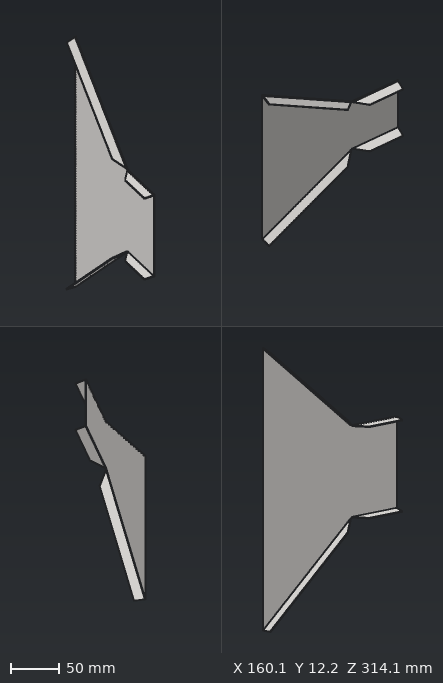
import cadquery as cq
import math

length = 160.13
depth = 12.24
wide_height = 314.15

sheet = 1.0
neck_height = 102.6
half_wide = wide_height / 2
half_neck = neck_height / 2

slope = math.sqrt(0.5)

outer_corner_x = sheet * slope
flare_span = half_wide - half_neck
flare_edge = flare_span / slope
corner_x = outer_corner_x + flare_span
neck_length = length - corner_x

wide_end_trim = 2.7
flare_corner_trim = 16.0
neck_corner_trim = 14.3

flare_corner_gap = 2.0


def make_web():
    """Flat funnel-shaped web, with its back face at Y = 0."""
    upper_edge = [
        (length, half_neck),
        (corner_x, half_neck),
        (outer_corner_x, half_wide),
        (0, half_wide - outer_corner_x),
    ]
    lower_edge = [(x, -z) for x, z in reversed(upper_edge)]
    return cq.Workplane("XZ").polyline(upper_edge + lower_edge).close().extrude(sheet)


def make_flange(start, direction, profile):
    """Flange whose outer face starts at `start` (X, Z) and follows `direction` (X, Z).

    The profile is drawn on the outer face: first coordinate along the flange, second along Y.
    """
    along_x, along_z = direction
    outer_face = cq.Plane(
        origin=(start[0], 0, start[1]),
        xDir=(along_x, 0, along_z),
        normal=(-along_z, 0, along_x),
    )
    return cq.Workplane(outer_face).polyline(profile).close().extrude(-sheet)


def make_flare_flange():
    """Upper 45-degree flange, tapering towards its free edge at both ends."""
    flange_end = flare_edge - flare_corner_gap
    profile = [
        (0, 0),
        (0, -sheet),
        (wide_end_trim, -depth),
        (flare_edge - flare_corner_trim, -depth),
        (flange_end, -sheet),
        (flange_end, 0),
    ]
    return make_flange((outer_corner_x, half_wide), (slope, -slope), profile)


def make_neck_flange():
    """Upper straight flange, cut back next to the flare and square at the neck end."""
    profile = [
        (0, 0),
        (0, -sheet),
        (neck_corner_trim, -depth),
        (neck_length, -depth),
        (neck_length, 0),
    ]
    return make_flange((corner_x, half_neck), (1, 0), profile)


def make_part():
    upper_flanges = make_flare_flange().union(make_neck_flange())
    lower_flanges = upper_flanges.mirror("XY")
    return make_web().union(upper_flanges).union(lower_flanges)


result = make_part()